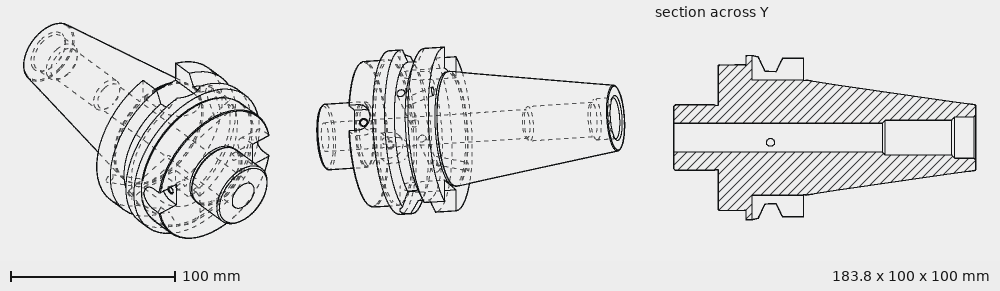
import cadquery as cq
import math

LENGTH = 183.8
TAPER_END_X = 103.3
FLANGE_X = 104.8
GROOVE_START_X = 117.6
GROOVE_FLOOR_X = 121.5
GROOVE_FLOOR_END_X = 128.3
GROOVE_END_X = 132.3
FLANGE_END_X = 139.9
COLLAR_X = 141.0
COLLAR_END_X = 156.8
SPIGOT_X = 159.2

TAPER_RATIO = 7 / 24
TAPER_END_DIA = 70.2
NECK_DIA = 69.7
FLANGE_DIA = 100.0
GROOVE_DIA = 84.5
COLLAR_DIA = 89.0
COLLAR_RELIEF_DIA = 88.2
SPIGOT_DIA = 40.0
SPIGOT_RELIEF_DIA = 39.3
SMALL_END_DIA = TAPER_END_DIA - TAPER_END_X * TAPER_RATIO

TAPER_CHAMFER = 0.5
COLLAR_CHAMFER = 0.5
SPIGOT_CHAMFER = 1.1

BORE_DIA = 17.5
THREAD_DIA = 21.0
PILOT_DIA = 25.0
MOUTH_DIA = 27.4
PILOT_DEPTH = 12.9
THREAD_DEPTH = 55.1

KEYWAY_WIDTH = 26.0
KEYWAY_END_X = 136.0
KEYWAY_FLOOR = 35.1

SLOT_WIDTH = 16.0
SLOT_CENTER_X = 151.0
SLOT_FLOOR = 30.3
SCREW_HOLE_DIA = 4.0
SCREW_MOUTH_DIA = 5.0
SCREW_HOLE_DEPTH = 11.0

COOLANT_DIA = 5.0
COOLANT_RADIUS = 42.0
COOLANT_ANGLE = 20.0
COOLANT_TILT = 27.0
COOLANT_X = (GROOVE_FLOOR_X + GROOVE_FLOOR_END_X) / 2


def revolve_profile(points):
    """Revolve (x, diameter) stations, closed along the axis, about X."""
    outline = [(x, dia / 2) for x, dia in points]
    outline = [(points[0][0], 0)] + outline + [(points[-1][0], 0)]
    return cq.Workplane("XY").polyline(outline).close().revolve(360, (0, 0), (1, 0))


def cylinder(diameter, length, start, direction):
    return cq.Workplane(
        cq.Solid.makeCylinder(diameter / 2, length, cq.Vector(*start), cq.Vector(*direction))
    )


def turned_body():
    return revolve_profile([
        (0, SMALL_END_DIA - 2 * TAPER_CHAMFER),
        (TAPER_CHAMFER, SMALL_END_DIA + TAPER_CHAMFER * TAPER_RATIO),
        (TAPER_END_X, TAPER_END_DIA),
        (TAPER_END_X + (TAPER_END_DIA - NECK_DIA) / 2, NECK_DIA),
        (FLANGE_X, NECK_DIA),
        (FLANGE_X, FLANGE_DIA),
        (GROOVE_START_X, FLANGE_DIA),
        (GROOVE_FLOOR_X, GROOVE_DIA),
        (GROOVE_FLOOR_END_X, GROOVE_DIA),
        (GROOVE_END_X, FLANGE_DIA),
        (FLANGE_END_X, FLANGE_DIA),
        (FLANGE_END_X, COLLAR_RELIEF_DIA),
        (COLLAR_X, COLLAR_DIA),
        (COLLAR_END_X - COLLAR_CHAMFER, COLLAR_DIA),
        (COLLAR_END_X, COLLAR_DIA - 2 * COLLAR_CHAMFER),
        (COLLAR_END_X, SPIGOT_RELIEF_DIA),
        (SPIGOT_X - (SPIGOT_DIA - SPIGOT_RELIEF_DIA), SPIGOT_RELIEF_DIA),
        (SPIGOT_X, SPIGOT_DIA),
        (LENGTH - SPIGOT_CHAMFER, SPIGOT_DIA),
        (LENGTH, SPIGOT_DIA - 2 * SPIGOT_CHAMFER),
    ])


def stepped_bore():
    """Clearance bore, thread core and pilot, joined by 45 degree cones."""
    return revolve_profile([
        (0, MOUTH_DIA),
        ((MOUTH_DIA - PILOT_DIA) / 2, PILOT_DIA),
        (PILOT_DEPTH, PILOT_DIA),
        (PILOT_DEPTH + (PILOT_DIA - THREAD_DIA) / 2, THREAD_DIA),
        (THREAD_DEPTH, THREAD_DIA),
        (THREAD_DEPTH + (THREAD_DIA - BORE_DIA) / 2, BORE_DIA),
        (LENGTH, BORE_DIA),
    ])


def keyway():
    """Round-ended keyway at +Z, open towards the taper."""
    radius = KEYWAY_WIDTH / 2
    center_x = KEYWAY_END_X - radius
    return (
        cq.Workplane("XY", origin=(0, 0, KEYWAY_FLOOR))
        .moveTo(TAPER_END_X, -radius)
        .lineTo(center_x, -radius)
        .threePointArc((KEYWAY_END_X, 0), (center_x, radius))
        .lineTo(TAPER_END_X, radius)
        .close()
        .extrude(FLANGE_DIA / 2 - KEYWAY_FLOOR)
    )


def collar_slot():
    """Round-ended slot at -Y, open towards the spigot, with its screw hole."""
    radius = SLOT_WIDTH / 2
    slot = (
        cq.Workplane("XZ", origin=(0, -SLOT_FLOOR, 0))
        .moveTo(COLLAR_END_X, -radius)
        .lineTo(SLOT_CENTER_X, -radius)
        .threePointArc((SLOT_CENTER_X - radius, 0), (SLOT_CENTER_X, radius))
        .lineTo(COLLAR_END_X, radius)
        .close()
        .extrude(FLANGE_DIA / 2 - SLOT_FLOOR)
    )
    mouth = (SLOT_CENTER_X, -SLOT_FLOOR, 0)
    hole = cylinder(SCREW_HOLE_DIA, SCREW_HOLE_DEPTH, mouth, (0, 1, 0))
    countersink = cq.Workplane(cq.Solid.makeCone(
        SCREW_MOUTH_DIA / 2, SCREW_HOLE_DIA / 2, (SCREW_MOUTH_DIA - SCREW_HOLE_DIA) / 2,
        cq.Vector(*mouth), cq.Vector(0, 1, 0),
    ))
    return slot.union(hole).union(countersink)


def coolant_channel():
    """Leaning hole from the flange face that meets a radial hole from groove to bore."""
    angle = math.radians(COOLANT_ANGLE)
    tilt = math.radians(COOLANT_TILT)
    outward = cq.Vector(0, -math.cos(angle), -math.sin(angle))
    radial = cylinder(COOLANT_DIA, FLANGE_DIA / 2, (COOLANT_X, 0, 0), outward.toTuple())

    entry = cq.Vector(FLANGE_X, 0, 0) + outward * COOLANT_RADIUS
    lean = cq.Vector(math.cos(tilt), 0, 0) - outward * math.sin(tilt)
    run_out = COOLANT_DIA * math.tan(tilt)
    length = (COOLANT_X - FLANGE_X) / math.cos(tilt)
    leaning = cylinder(
        COOLANT_DIA, length + run_out, (entry - lean * run_out).toTuple(), lean.toTuple()
    )
    return radial.union(leaning)


result = turned_body().cut(stepped_bore())
for feature in (keyway(), collar_slot(), coolant_channel()):
    for turn in (0, 180):
        result = result.cut(feature.rotate((0, 0, 0), (1, 0, 0), turn))